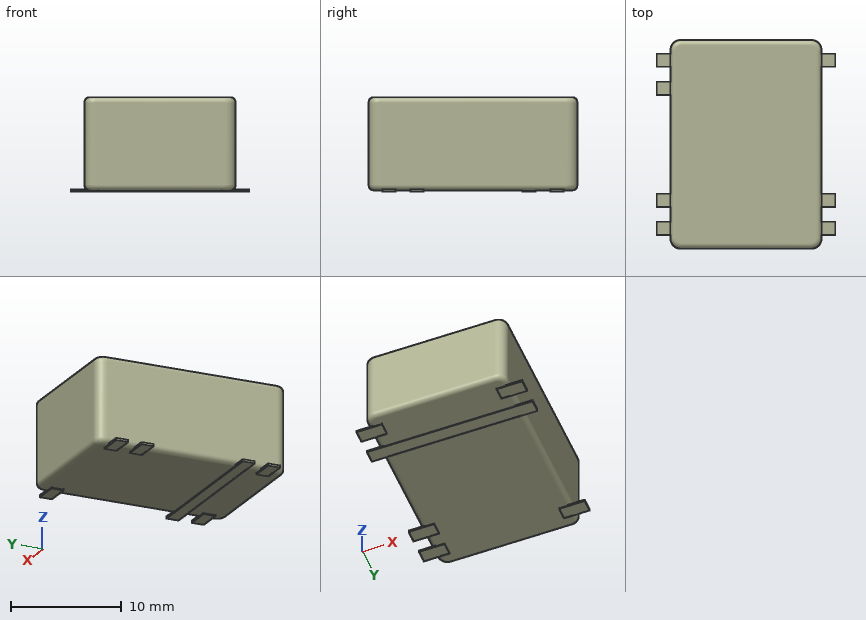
import cadquery as cq

HOUSING_WIDTH = 13.68
HOUSING_LENGTH = 18.9
OVERALL_HEIGHT = 8.55
STANDOFF = 0.1
CORNER_RADIUS = 0.95
EDGE_RADIUS = 0.5

LEAD_SPAN = 16.15
LEAD_WIDTH = 1.21
LEAD_THICKNESS = 0.2
LEAD_LENGTH = 2.5
LEAD_PITCH = 2.53

OUTER_ROW = 3 * LEAD_PITCH
INNER_ROW = 2 * LEAD_PITCH
LEFT_ROWS = [OUTER_ROW, INNER_ROW, -OUTER_ROW]
RIGHT_ROWS = [OUTER_ROW, -OUTER_ROW]
CROSS_STRIP_ROW = -INNER_ROW


def make_strip(length, center_x, center_y):
    """Flat metal strip along X, resting on the mounting plane."""
    return (
        cq.Workplane("XY")
        .box(length, LEAD_WIDTH, LEAD_THICKNESS, centered=(True, True, False))
        .translate((center_x, center_y, 0))
    )


def make_lead(side, center_y):
    """Short lead whose outer end reaches half the lead span; side is -1 or +1."""
    return make_strip(LEAD_LENGTH, side * (LEAD_SPAN - LEAD_LENGTH) / 2, center_y)


def make_housing(sunk_bodies):
    """Rounded block with a matching recess for each body sunk into its floor."""
    housing = (
        cq.Workplane("XY")
        .workplane(offset=STANDOFF)
        .rect(HOUSING_WIDTH, HOUSING_LENGTH)
        .extrude(OVERALL_HEIGHT - STANDOFF)
        .edges("|Z")
        .fillet(CORNER_RADIUS)
        .faces("<Z or >Z")
        .edges()
        .fillet(EDGE_RADIUS)
    )
    for body in sunk_bodies:
        housing = housing.cut(body)
    return housing


leads = [make_lead(-1, row) for row in LEFT_ROWS]
leads += [make_lead(1, row) for row in RIGHT_ROWS]

cross_strip = make_strip(LEAD_SPAN, 0, CROSS_STRIP_ROW)

housing = make_housing(leads + [cross_strip])

result = cq.Compound.makeCompound(
    [housing.val(), cross_strip.val(), *[lead.val() for lead in leads]]
)